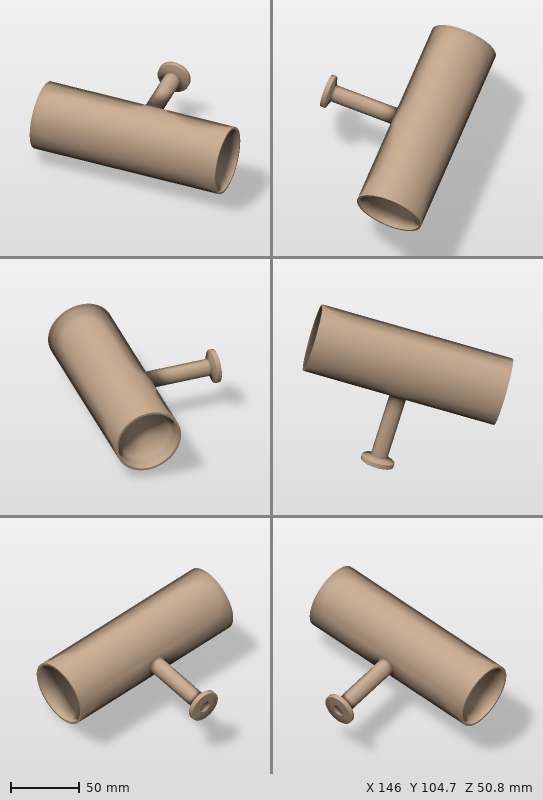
import cadquery as cq
import math

tube_length = 146.0
tube_outer_radius = 50.8 / 2
tube_inner_radius = 47.5 / 2

overall_width = 104.7
branch_outer_radius = 12.7 / 2
branch_bore_radius = 9.3 / 2
branch_end = overall_width - tube_outer_radius
weld_fillet_radius = 1.5

flange_radius = 25.0 / 2
flange_rim_width = 3.7
flange_back_angle = math.radians(20)
front_edge_radius = 0.3
back_edge_radius = 0.6
neck_fillet_radius = 0.7

rim_back_y = branch_end - flange_rim_width
neck_y = rim_back_y - (flange_radius - branch_outer_radius) * math.tan(flange_back_angle)


def tube_cylinder(radius):
    """Solid cylinder as long as the main tube."""
    return cq.Workplane("YZ").circle(radius).extrude(tube_length / 2, both=True)


def branch_cylinder(radius):
    """Solid cylinder from the tube axis to the free end of the branch."""
    return cq.Workplane("XZ").circle(radius).extrude(-branch_end)


def ferrule():
    """Flange with a conical back face, revolved about the branch axis."""
    profile = (
        cq.Workplane("XY")
        .moveTo(0, neck_y)
        .lineTo(branch_outer_radius, neck_y)
        .lineTo(flange_radius, rim_back_y)
        .lineTo(flange_radius, branch_end)
        .lineTo(0, branch_end)
        .close()
    )
    flange = profile.revolve(360, (0, 0, 0), (0, 1, 0))
    flange = fillet_branch_edges(flange, rim_back_y, rim_back_y, back_edge_radius)
    return fillet_branch_edges(flange, branch_end, branch_end, front_edge_radius)


def fillet_branch_edges(body, y_min, y_max, radius):
    """Round the edges around the branch whose centres lie from y_min to y_max."""
    reach = flange_radius
    edges_in_range = cq.selectors.BoxSelector(
        (-reach, y_min - radius, -reach),
        (reach, y_max + radius, reach),
    )
    return body.edges(edges_in_range).fillet(radius)


body = tube_cylinder(tube_outer_radius).union(branch_cylinder(branch_outer_radius))
weld_lowest_y = math.sqrt(tube_outer_radius**2 - branch_outer_radius**2)
body = fillet_branch_edges(body, weld_lowest_y, tube_outer_radius, weld_fillet_radius)

body = body.union(ferrule())
body = fillet_branch_edges(body, neck_y, neck_y, neck_fillet_radius)

result = body.cut(tube_cylinder(tube_inner_radius)).cut(branch_cylinder(branch_bore_radius))